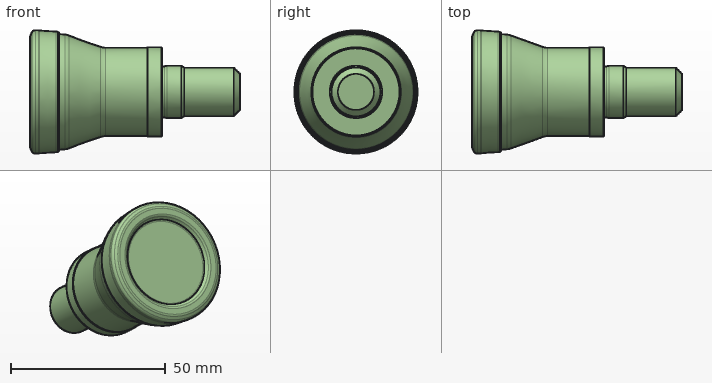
import cadquery as cq

TOTAL_LENGTH = 68.0

HEAD_RADIUS = 20.0
HEAD_END = 9.45
HEAD_END_RADIUS = 19.6
TAPER_END = 8.4
REAR_BEVEL_START = 9.05
REAR_BEVEL_RADIUS = 19.45
REAR_DROP = 0.5
CREST_START = 1.8
CREST_END = 2.65
TAPER_START = 3.05
TAPER_START_RADIUS = 19.9
FACE_RADIUS = 17.7
RIM_ROUND_RADIUS = 18.35
RIM_ROUND_DEPTH = 0.15
BEVEL_END = 0.6
BEVEL_END_RADIUS = 19.3

MOUTH_OUTER_RADIUS = 15.8
MOUTH_INNER_RADIUS = 15.0
MOUTH_DEPTH = 0.35
RECESS_WALL_RADIUS = 14.15
RECESS_WALL_DEPTH = 1.15
RECESS_FLOOR_RADIUS = 13.7
RECESS_DEPTH = 1.5

SHOULDER_RADIUS = 18.8
SHOULDER_END = 11.3
SHOULDER_END_RADIUS = 18.6
CONE_START = 12.5
CONE_START_RADIUS = 18.35
CONE_END = 22.7
CONE_END_RADIUS = 14.7
NECK_START = 24.4
NECK_RADIUS = 28.6 / 2

COLLAR_START = 37.95
COLLAR_END = 42.85
COLLAR_RADIUS = 29.0 / 2
COLLAR_REAR_CHAMFER = 0.4
UNDERCUT_RADIUS = 8.3
UNDERCUT_END = 43.45
GUIDE_START = 44.2
GUIDE_RADIUS = 17.0 / 2
GUIDE_END = 48.95
SHANK_START = 50.0
SHANK_RADIUS = 15.8 / 2
TIP_CHAMFER = 2.05


def turn(profile):
    """Close a half profile drawn as (x, radius) and revolve it about the X axis."""
    return profile.close().revolve(360, (0, 0, 0), (1, 0, 0))


def add_recess(profile):
    """Run from the recess floor up its sloping wall and over the rounded mouth to the face."""
    return (
        profile.lineTo(RECESS_DEPTH, RECESS_FLOOR_RADIUS)
        .tangentArcPoint((RECESS_WALL_DEPTH, RECESS_WALL_RADIUS), relative=False)
        .lineTo(MOUTH_DEPTH, MOUTH_INNER_RADIUS)
        .tangentArcPoint((0, MOUTH_OUTER_RADIUS), relative=False)
        .lineTo(0, FACE_RADIUS)
    )


def make_knob():
    profile = add_recess(cq.Workplane("XY").moveTo(RECESS_DEPTH, 0))
    profile = (
        profile.tangentArcPoint((RIM_ROUND_DEPTH, RIM_ROUND_RADIUS), relative=False)
        .lineTo(BEVEL_END, BEVEL_END_RADIUS)
        .tangentArcPoint((CREST_START, HEAD_RADIUS), relative=False)
        .lineTo(CREST_END, HEAD_RADIUS)
        .tangentArcPoint((TAPER_START, TAPER_START_RADIUS), relative=False)
        .lineTo(TAPER_END, HEAD_END_RADIUS)
        .tangentArcPoint((REAR_BEVEL_START, REAR_BEVEL_RADIUS), relative=False)
        .lineTo(HEAD_END, HEAD_END_RADIUS - REAR_DROP)
        .lineTo(HEAD_END, SHOULDER_RADIUS)
    )
    profile = (
        profile.lineTo(SHOULDER_END, SHOULDER_END_RADIUS)
        .tangentArcPoint((CONE_START, CONE_START_RADIUS), relative=False)
        .lineTo(CONE_END, CONE_END_RADIUS)
        .tangentArcPoint((NECK_START, NECK_RADIUS), relative=False)
        .lineTo(COLLAR_START, NECK_RADIUS)
        .lineTo(COLLAR_START, 0)
    )
    return turn(profile)


def make_plunger():
    front_chamfer = COLLAR_RADIUS - NECK_RADIUS
    profile = (
        cq.Workplane("XY")
        .moveTo(COLLAR_START, 0)
        .lineTo(COLLAR_START, NECK_RADIUS)
        .lineTo(COLLAR_START + front_chamfer, COLLAR_RADIUS)
        .lineTo(COLLAR_END - COLLAR_REAR_CHAMFER, COLLAR_RADIUS)
        .lineTo(COLLAR_END, COLLAR_RADIUS - COLLAR_REAR_CHAMFER)
        .lineTo(COLLAR_END, UNDERCUT_RADIUS)
        .lineTo(UNDERCUT_END, UNDERCUT_RADIUS)
        .lineTo(GUIDE_START, GUIDE_RADIUS)
        .lineTo(GUIDE_END, GUIDE_RADIUS)
        .lineTo(SHANK_START, SHANK_RADIUS)
        .lineTo(TOTAL_LENGTH - TIP_CHAMFER, SHANK_RADIUS)
        .lineTo(TOTAL_LENGTH, SHANK_RADIUS - TIP_CHAMFER)
        .lineTo(TOTAL_LENGTH, 0)
    )
    return turn(profile)


knob = make_knob()
plunger = make_plunger()

result = cq.Compound.makeCompound([knob.val(), plunger.val()])